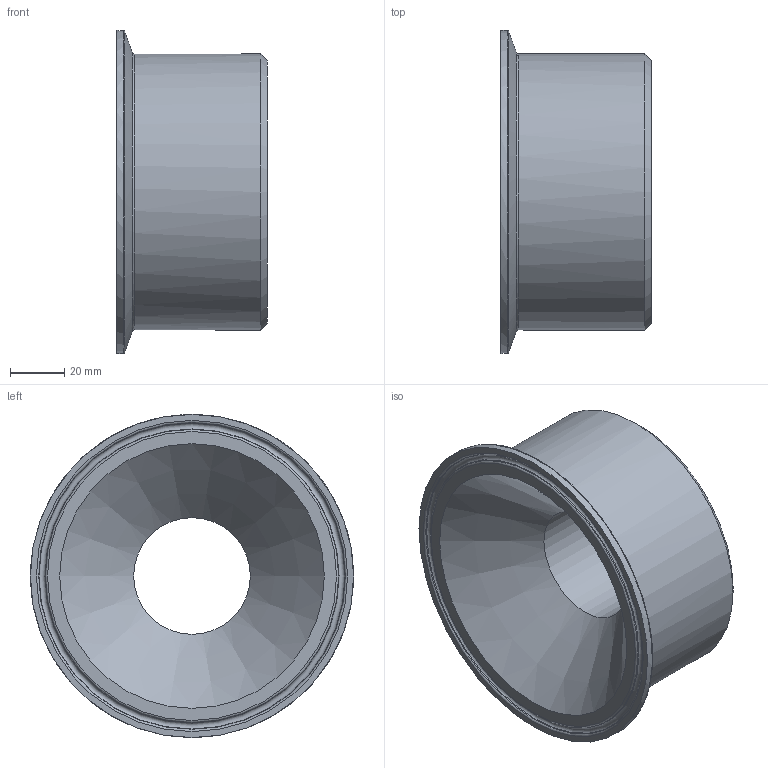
import cadquery as cq
import math

LENGTH = 55.55
FLANGE_DIAMETER = 118.92
BODY_DIAMETER = 101.6
BORE_DIAMETER = 42.9

RIM_WIDTH = 2.85
RIM_ROUND = 0.4
FLANGE_BACK_ANGLE = 20
NECK_ROUND = 0.8

CHAMFER = 2.4

GROOVE_DIAMETER = 110.4
GROOVE_FLOOR_RADIUS = 1.2
GROOVE_DEPTH = 1.6
GROOVE_LIP_RADIUS = 0.85
GROOVE_WALL_ANGLE = 67

MOUTH_DIAMETER = 97.38
CONE_LENGTH = 27.0

EDGE_MARGIN = 0.05

flange_radius = FLANGE_DIAMETER / 2
body_radius = BODY_DIAMETER / 2
bore_radius = BORE_DIAMETER / 2
mouth_radius = MOUTH_DIAMETER / 2
flange_end = RIM_WIDTH + (flange_radius - body_radius) * math.tan(math.radians(FLANGE_BACK_ANGLE))


def revolve_about_x(profile):
    """Turn a closed (x, radius) profile around the X axis."""
    return profile.close().revolve(360, (0, 0, 0), (1, 0, 0))


def polar(center, radius, degrees):
    """Point at an angle around a center, in (x, radius) coordinates."""
    angle = math.radians(degrees)
    return (center[0] + radius * math.cos(angle), center[1] + radius * math.sin(angle))


def round_outer_edge(body, x, radius):
    """Round the circular outer edge that lies in the plane at x."""
    low = (x - EDGE_MARGIN, -FLANGE_DIAMETER, -FLANGE_DIAMETER)
    high = (x + EDGE_MARGIN, FLANGE_DIAMETER, FLANGE_DIAMETER)
    return body.edges(cq.selectors.BoxSelector(low, high)).fillet(radius)


def make_blank():
    """Flanged body with the conical mouth running into the straight bore."""
    blank = revolve_about_x(
        cq.Workplane("XY")
        .moveTo(0, mouth_radius)
        .lineTo(0, flange_radius)
        .lineTo(RIM_WIDTH, flange_radius)
        .lineTo(flange_end, body_radius)
        .lineTo(LENGTH - CHAMFER, body_radius)
        .lineTo(LENGTH, body_radius - CHAMFER)
        .lineTo(LENGTH, bore_radius)
        .lineTo(CONE_LENGTH, bore_radius)
    )
    blank = round_outer_edge(blank, RIM_WIDTH, RIM_ROUND)
    return round_outer_edge(blank, flange_end, NECK_ROUND)


def make_groove():
    """Ring that cuts the gasket groove, symmetric about its own mean diameter."""
    wall = math.radians(GROOVE_WALL_ANGLE)
    mean_radius = GROOVE_DIAMETER / 2
    floor_center = (GROOVE_DEPTH - GROOVE_FLOOR_RADIUS, mean_radius)
    rounding = GROOVE_FLOOR_RADIUS + GROOVE_LIP_RADIUS
    lip_depth = GROOVE_LIP_RADIUS - floor_center[0]
    lip_offset = (rounding - lip_depth * math.cos(wall)) / math.sin(wall)
    outer_lip = (GROOVE_LIP_RADIUS, mean_radius + lip_offset)
    inner_lip = (GROOVE_LIP_RADIUS, mean_radius - lip_offset)
    half_wall = GROOVE_WALL_ANGLE / 2
    return revolve_about_x(
        cq.Workplane("XY")
        .moveTo(0, outer_lip[1])
        .threePointArc(
            polar(outer_lip, GROOVE_LIP_RADIUS, 180 + half_wall),
            polar(outer_lip, GROOVE_LIP_RADIUS, 180 + GROOVE_WALL_ANGLE),
        )
        .lineTo(*polar(floor_center, GROOVE_FLOOR_RADIUS, GROOVE_WALL_ANGLE))
        .threePointArc(
            polar(floor_center, GROOVE_FLOOR_RADIUS, 0),
            polar(floor_center, GROOVE_FLOOR_RADIUS, -GROOVE_WALL_ANGLE),
        )
        .lineTo(*polar(inner_lip, GROOVE_LIP_RADIUS, 180 - GROOVE_WALL_ANGLE))
        .threePointArc(
            polar(inner_lip, GROOVE_LIP_RADIUS, 180 - half_wall),
            (0, inner_lip[1]),
        )
    )


result = make_blank().cut(make_groove())